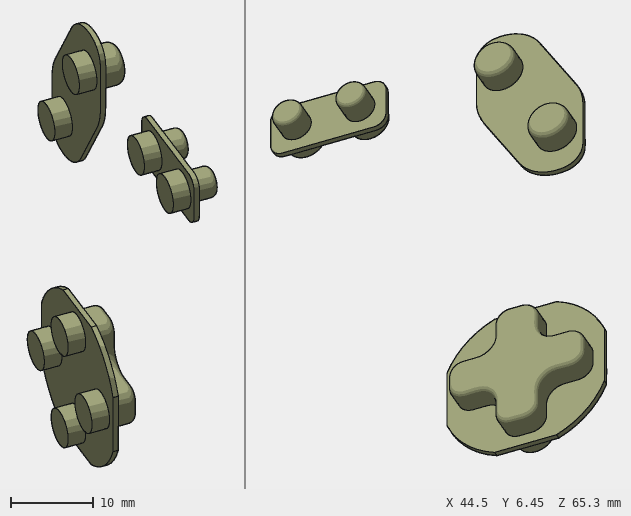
import cadquery as cq
import math

PLATE_THICKNESS = 0.7
CONTACT_DIAMETER = 5.0
CONTACT_HEIGHT = 2.35
BUTTON_HEIGHT = 3.3

CROSS_PLATE_DIAMETER = 22.6
CROSS_PLATE_ACROSS_FLATS = 21.0
CROSS_CONTACT_OFFSET = 7.0
CROSS_ARM_WIDTH = 5.6
CROSS_SPAN = 18.0
CROSS_TIP_RADIUS = 2.0
CROSS_INNER_RADIUS = 2.4
CROSS_EDGE_RADIUS = 1.0

PAIR_PLATE_FRONT = 0.1

SLANTED_CENTRE = (-0.6, 42.95)
SLANTED_OFFSET = (3.6, 6.0)
SLANTED_PLATE_WIDTH = 14.2
SLANTED_END_RADIUS = 5.8
SLANTED_TIP_RADIUS = 2.95
SLANTED_SIDE_RADIUS = 6.8
SLANTED_BUTTON_DIAMETER = 5.4
SLANTED_EDGE_RADIUS = 1.1

LEVEL_CENTRE = (26.3, 49.75)
LEVEL_OFFSET = 4.25
LEVEL_PLATE_WIDTH = 15.4
LEVEL_PLATE_HEIGHT = 7.1
LEVEL_CORNER_RADIUS = 1.6
LEVEL_BUTTON_DIAMETER = 4.0
LEVEL_EDGE_RADIUS = 0.8


def plane_at(y):
    """XZ workplane at depth y, where a negative extrusion grows toward +Y."""
    return cq.Workplane("XZ", origin=(0, y, 0))


def discs(points, y, diameter, depth):
    """Round posts at (x, z) points, growing from depth y toward +Y."""
    return plane_at(y).pushPoints(points).circle(diameter / 2).extrude(-depth)


def contacts(points, plate_front):
    """Contact pins that reach forward from a plate's front face."""
    return discs(points, plate_front - CONTACT_HEIGHT, CONTACT_DIAMETER, CONTACT_HEIGHT)


def round_buttons(points, plate_back, diameter, edge_radius):
    """Round buttons on a plate's back face, with rounded end edges."""
    return discs(points, plate_back, diameter, BUTTON_HEIGHT).faces(">Y").edges().fillet(edge_radius)


def cross_button():
    """Plus-shaped button with rounded tips, inner corners and end edge."""
    across = plane_at(PLATE_THICKNESS).rect(CROSS_SPAN, CROSS_ARM_WIDTH).extrude(-BUTTON_HEIGHT)
    upright = plane_at(PLATE_THICKNESS).rect(CROSS_ARM_WIDTH, CROSS_SPAN).extrude(-BUTTON_HEIGHT)
    plus = across.union(upright)
    inner_box = cq.selectors.BoxSelector(
        (-CROSS_ARM_WIDTH, 0, -CROSS_ARM_WIDTH),
        (CROSS_ARM_WIDTH, PLATE_THICKNESS + BUTTON_HEIGHT, CROSS_ARM_WIDTH),
    )
    plus = plus.edges("|Y").edges(inner_box).fillet(CROSS_INNER_RADIUS)
    for side in ("<X", ">X", "<Z", ">Z"):
        plus = plus.faces(side).edges("|Y").fillet(CROSS_TIP_RADIUS)
    return plus.faces(">Y").edges().fillet(CROSS_EDGE_RADIUS)


def cross_pad():
    plate = plane_at(0).circle(CROSS_PLATE_DIAMETER / 2).extrude(-PLATE_THICKNESS)
    flats = plane_at(0).rect(CROSS_PLATE_ACROSS_FLATS, CROSS_PLATE_ACROSS_FLATS).extrude(-PLATE_THICKNESS)
    points = [
        (CROSS_CONTACT_OFFSET, 0),
        (0, CROSS_CONTACT_OFFSET),
        (-CROSS_CONTACT_OFFSET, 0),
        (0, -CROSS_CONTACT_OFFSET),
    ]
    pad = plate.intersect(flats).union(contacts(points, 0))
    return pad.union(cross_button())


def pair_pad(plate, points, button_diameter, edge_radius):
    """Plate with a contact in front of and a button behind each point."""
    plate_back = PAIR_PLATE_FRONT + PLATE_THICKNESS
    pad = plate.union(contacts(points, PAIR_PLATE_FRONT))
    return pad.union(round_buttons(points, plate_back, button_diameter, edge_radius))


def slanted_plate():
    """Capsule around both buttons, trimmed by two upright sides, with its corners rounded."""
    spacing = 2 * math.hypot(*SLANTED_OFFSET)
    slant = math.degrees(math.atan2(SLANTED_OFFSET[1], SLANTED_OFFSET[0]))
    capsule_length = spacing + 2 * SLANTED_END_RADIUS
    plate_height = 2 * (SLANTED_OFFSET[1] + SLANTED_END_RADIUS)
    base = plane_at(PAIR_PLATE_FRONT).center(*SLANTED_CENTRE)
    capsule = base.slot2D(capsule_length, 2 * SLANTED_END_RADIUS, slant).extrude(-PLATE_THICKNESS)
    trim = base.rect(SLANTED_PLATE_WIDTH, plate_height).extrude(-PLATE_THICKNESS)
    plate = capsule.intersect(trim)
    for side, tip_edge, inner_edge in (("<X", "<Z", ">Z"), (">X", ">Z", "<Z")):
        plate = plate.faces(side).edges("|Y").edges(tip_edge).fillet(SLANTED_TIP_RADIUS)
        plate = plate.faces(side).edges("|Y").edges(inner_edge).fillet(SLANTED_SIDE_RADIUS)
    return plate


def slanted_pad():
    centre_x, centre_z = SLANTED_CENTRE
    offset_x, offset_z = SLANTED_OFFSET
    points = [(centre_x + sign * offset_x, centre_z + sign * offset_z) for sign in (-1, 1)]
    return pair_pad(slanted_plate(), points, SLANTED_BUTTON_DIAMETER, SLANTED_EDGE_RADIUS)


def level_pad():
    centre_x, centre_z = LEVEL_CENTRE
    plate = (
        plane_at(PAIR_PLATE_FRONT)
        .center(centre_x, centre_z)
        .rect(LEVEL_PLATE_WIDTH, LEVEL_PLATE_HEIGHT)
        .extrude(-PLATE_THICKNESS)
        .edges("|Y")
        .fillet(LEVEL_CORNER_RADIUS)
    )
    points = [(centre_x + sign * LEVEL_OFFSET, centre_z) for sign in (-1, 1)]
    return pair_pad(plate, points, LEVEL_BUTTON_DIAMETER, LEVEL_EDGE_RADIUS)


result = cq.Compound.makeCompound([cross_pad().val(), slanted_pad().val(), level_pad().val()])